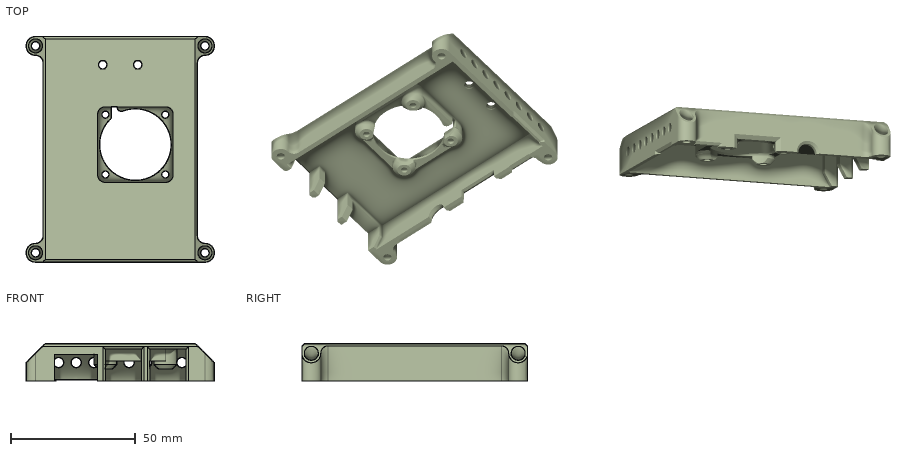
import cadquery as cq
import math

length = 90.6
width = 75.6
height = 15.0
body_width = 62.0
side_slope_top = 60.2
end_chamfer = 1.1

ear_radius = 3.8
ear_hole = 3.3
ear_counterbore = 5.6
ear_seat_z = 6.3

ceiling_z = 12.8
left_wall = 3.0
right_wall = 2.0
back_wall = 2.0
front_wall = 6.0
front_wall_foot = 3.0
front_lean = 30

fan_x = 6.1
fan_y = 1.9
fan_recess_radius = 3.2
fan_wall = 1.45
fan_bore = 28.6
fan_screw_pitch = 24.0
fan_recess = fan_screw_pitch + 2 * fan_recess_radius
fan_screw_hole = 2.7
fan_plate_bottom = 8.0
fan_plate_thickness = 1.0
peg_shoulder_z = 6.6
peg_tip_z = 4.8
cable_slot_left = -3.5
cable_slot_right = -1.3
cable_slot_tip_radius = 1.7
cable_slot_top = 12.3

top_hole = 3.3
top_hole_below = 4.0
top_hole_lip = 1.45
top_hole_y = 33.9
top_hole_spacing = 14.0

vent_hole = 4.0
vent_pitch = 7.1
vent_count = 8
vent_z = 7.4

opening_chamfer = 1.0

port_width = 16.5
port_top = 13.8
port_centers = (1.3, 19.1)
plain_port_left = -26.3
plain_port_right = -9.15
plain_port_top = 10.7

socket_y = 10.0
socket_width = 19.75
socket_top = 5.5
socket_chamfer = 1.5
jack_y = -11.5
jack_radius = 4.9
slit_y = 31.3
slit_width = 12.1
slit_top = 1.45

back_slit_x = -17.0
back_slit_width = 19.6

half_length = length / 2
half_body = body_width / 2
ear_x = width / 2 - ear_radius
ear_y = half_length - ear_radius
cavity_left = -half_body + left_wall
cavity_right = half_body - right_wall
cavity_front = -half_length + front_wall
cavity_back = half_length - back_wall
fan_outer = fan_recess + 2 * fan_wall
fan_outer_radius = fan_recess_radius + fan_wall
fan_plate_top = fan_plate_bottom + fan_plate_thickness

INTO_FRONT = (0, 1, 0)
INTO_BACK = (0, -1, 0)
INTO_LEFT = (1, 0, 0)


def shell_blank():
    """Plan outline with four ears, under a roof whose sides slope at 45 degrees."""
    web_radius = ear_x - half_body
    web_y = ear_y - ear_radius - web_radius
    diagonal = web_radius * math.sqrt(0.5)
    quarter = (
        cq.Workplane("XY")
        .lineTo(0, half_length)
        .lineTo(ear_x, half_length)
        .threePointArc((width / 2, ear_y), (ear_x, ear_y - ear_radius))
        .threePointArc((ear_x - diagonal, web_y + diagonal), (half_body, web_y))
        .lineTo(half_body, 0)
        .close()
        .extrude(height)
    )
    half = quarter.union(quarter.mirror("YZ"))
    plan = half.union(half.mirror("XZ")).clean()

    eave_z = height - (width - side_slope_top) / 2
    roof = (
        cq.Workplane("XZ", origin=(0, half_length, 0))
        .polyline([
            (-width / 2, 0),
            (width / 2, 0),
            (width / 2, eave_z),
            (side_slope_top / 2, height),
            (-side_slope_top / 2, height),
            (-width / 2, eave_z),
        ])
        .close()
        .extrude(length)
    )
    return plan.intersect(roof).faces(">Z").edges("|X").chamfer(end_chamfer)


def cavity():
    """Inside space, open at the bottom; the foot of the front wall is thinned."""
    lean_z = (front_wall - front_wall_foot) / math.tan(math.radians(front_lean))
    return (
        cq.Workplane("YZ", origin=(cavity_left, 0, 0))
        .polyline([
            (-half_length + front_wall_foot, 0),
            (cavity_back, 0),
            (cavity_back, ceiling_z),
            (cavity_front, ceiling_z),
            (cavity_front, lean_z),
        ])
        .close()
        .extrude(cavity_right - cavity_left)
    )


def ear_holes():
    places = cq.Workplane("XY").rect(2 * ear_x, 2 * ear_y, forConstruction=True).vertices()
    bores = places.circle(ear_hole / 2).extrude(height)
    seats = (
        cq.Workplane("XY", origin=(0, 0, ear_seat_z))
        .rect(2 * ear_x, 2 * ear_y, forConstruction=True)
        .vertices()
        .circle(ear_counterbore / 2)
        .extrude(height)
    )
    return bores.union(seats)


def fan_plane(z):
    return cq.Workplane("XY", origin=(fan_x, fan_y, z))


def fan_screws(z):
    return fan_plane(z).rect(fan_screw_pitch, fan_screw_pitch, forConstruction=True).vertices()


def fan_housing():
    """Walled box hanging from the roof, whose round corner posts end in pointed pegs."""
    roof_bond = height - end_chamfer
    post_height = roof_bond - peg_shoulder_z
    box_height = roof_bond - fan_plate_bottom
    posts = fan_screws(peg_shoulder_z).circle(fan_outer_radius).extrude(post_height)
    tips = fan_screws(peg_shoulder_z).circle(fan_outer_radius).extrude(peg_tip_z - peg_shoulder_z, taper=45)
    wide = fan_plane(fan_plate_bottom).rect(fan_outer, fan_screw_pitch).extrude(box_height)
    deep = fan_plane(fan_plate_bottom).rect(fan_screw_pitch, fan_outer).extrude(box_height)
    return posts.union(tips).union(wide).union(deep)


def cable_slot():
    """Slot from the fan bore out through the back wall of the fan housing."""
    bore_radius = fan_bore / 2
    tip = cable_slot_tip_radius
    tip_x = cable_slot_right + tip
    reach = bore_radius + tip
    tip_y = fan_y + math.sqrt(reach ** 2 - (fan_x - tip_x) ** 2)
    slot_back = fan_y + fan_outer / 2
    touch_x = tip_x + (fan_x - tip_x) * tip / reach
    touch_y = tip_y + (fan_y - tip_y) * tip / reach
    half_turn = math.sqrt(0.5) * tip
    return (
        cq.Workplane("XY")
        .moveTo(cable_slot_left, fan_y)
        .lineTo(cable_slot_left, slot_back)
        .lineTo(cable_slot_right, slot_back)
        .lineTo(cable_slot_right, tip_y)
        .threePointArc((tip_x - half_turn, tip_y - half_turn), (touch_x, touch_y))
        .lineTo(fan_x, fan_y)
        .close()
        .extrude(cable_slot_top)
    )


def fan_cuts():
    recess = (
        fan_plane(fan_plate_top)
        .rect(fan_recess, fan_recess)
        .extrude(height)
        .edges("|Z")
        .fillet(fan_recess_radius)
    )
    bore = fan_plane(0).circle(fan_bore / 2).extrude(height)
    screws = fan_screws(0).circle(fan_screw_hole / 2).extrude(height)
    return recess.union(bore).union(screws).union(cable_slot())


def wall_plane(origin, inward):
    along_wall = (0, 1, 0) if inward == INTO_LEFT else (1, 0, 0)
    return cq.Workplane(cq.Plane(origin=origin, xDir=along_wall, normal=inward))


def chamfered_port(origin, inward, port_size, top, chamfer, wall):
    """Opening from the bottom edge up to `top`, widened by a 45 degree chamfer on the outside."""
    plane = wall_plane(origin, inward)
    mouth = plane.rect(port_size, 2 * top).extrude(chamfer, taper=45)
    throat = plane.rect(port_size - 2 * chamfer, 2 * (top - chamfer)).extrude(wall)
    return mouth.union(throat)


def front_openings():
    plain_width = plain_port_right - plain_port_left
    cuts = (
        wall_plane(((plain_port_left + plain_port_right) / 2, -half_length, 0), INTO_FRONT)
        .rect(plain_width, 2 * plain_port_top)
        .extrude(front_wall)
    )
    for x in port_centers:
        foot = (x, -half_length, 0)
        port = chamfered_port(foot, INTO_FRONT, port_width, port_top, opening_chamfer, front_wall)
        cuts = cuts.union(port)
    return cuts


def left_openings():
    socket = chamfered_port(
        (-half_body, socket_y, 0), INTO_LEFT, socket_width, socket_top, socket_chamfer, left_wall
    )
    slit = chamfered_port(
        (-half_body, slit_y, 0), INTO_LEFT, slit_width, slit_top, opening_chamfer, left_wall
    )
    slit_approach = (
        wall_plane((-half_body, slit_y, 0), INTO_LEFT)
        .rect(slit_width, 2 * slit_top)
        .extrude(half_body - ear_x)
    )
    jack_plane = wall_plane((-half_body, jack_y, 0), INTO_LEFT)
    jack_mouth = jack_plane.circle(jack_radius).extrude(opening_chamfer, taper=45)
    jack_throat = jack_plane.circle(jack_radius - opening_chamfer).extrude(left_wall)
    return socket.union(slit).union(slit_approach).union(jack_mouth).union(jack_throat)


def back_openings():
    vents = (
        wall_plane((0, half_length, vent_z), INTO_BACK)
        .rarray(vent_pitch, 0.9, vent_count, 1)
        .circle(vent_hole / 2)
        .extrude(back_wall)
    )
    slit = chamfered_port(
        (back_slit_x, half_length, 0), INTO_BACK, back_slit_width, slit_top, opening_chamfer, back_wall
    )
    return vents.union(slit)


def top_holes():
    """Two holes through the roof, each widened from below up to a thin lip."""
    places = cq.Workplane("XY", origin=(0, top_hole_y, 0)).rarray(top_hole_spacing, 0.9, 2, 1)
    bores = places.circle(top_hole / 2).extrude(height)
    widened = places.circle(top_hole_below / 2).extrude(height - top_hole_lip)
    return bores.union(widened)


result = (
    shell_blank()
    .cut(cavity())
    .cut(front_openings())
    .cut(left_openings())
    .cut(back_openings())
    .cut(ear_holes())
    .cut(top_holes())
    .union(fan_housing())
    .cut(fan_cuts())
)